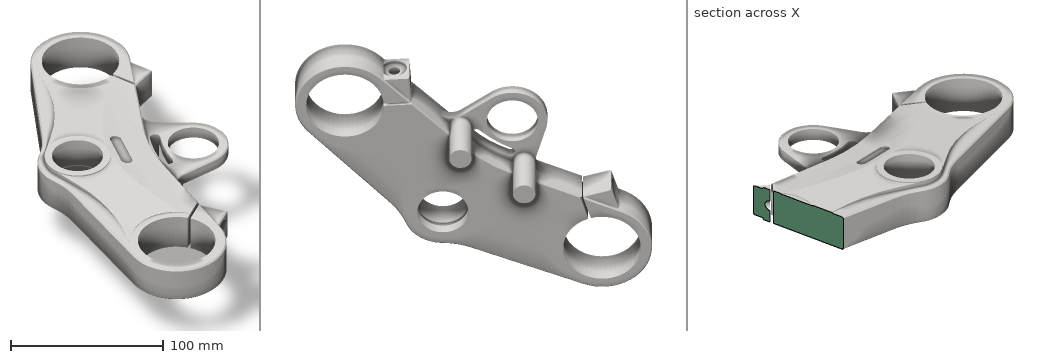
import cadquery as cq
import math

BODY_HEIGHT = 24.5
BOSS_RISE = 4.0
PIN_DROP = 23.5
EDGE_CHAMFER = 0.95

FORK_X = 102.7
FORK_OUTER_R = 32.8
FORK_BORE_R = 25.5
FORK_COLLAR_R = 30.4

STEM_Y = -35.2
STEM_BORE_R = 16.8
STEM_BOSS_R = 21.7
NOSE_R = 26.3
NOSE_BLEND_R = 51.5
STEM_GROOVE_R = 18.0
STEM_GROOVE_WIDTH = 3.3
STEM_GROOVE_DEPTH = 18.0

FRONT_ANGLE = math.radians(12.6)
REAR_ANGLE = math.radians(11)
REAR_BLEND_R = 108.5

CROWN_PEAK = 3.5
CROWN_HALF_LENGTH = 99.0
CROWN_FRONT_Y = -30.0
CROWN_STRAIGHT_X = 81.3
CROWN_FRONT_R = 105.7
CROWN_FRONT_ANGLE = math.radians(31)
CROWN_REAR_Y = 27.0
CROWN_ROOT = 2.7

BADGE_Y = -5.1
BADGE_LENGTH = 31.0
BADGE_WIDTH = 7.5
BADGE_FLOOR_RISE = 0.3

SPLIT_ANGLE = 38.5
SPLIT_WIDTH = 2.0
EAR_REACH = 43.5
EAR_LENGTH = 19.2
EAR_HEIGHT = 22.0
EAR_CHAMFER = 0.8
SCREW_REACH = 33.5
SCREW_R = 3.8
SCREW_HEAD_R = 8.5
SCREW_HEAD_DEPTH = 2.2

BRACKET_BASE = 12.2
BRACKET_THICKNESS = 8.0
BRACKET_Y = 44.7
BRACKET_OUTER_R = 23.0
BRACKET_BORE_R = 16.8
BRACKET_SIDE_ANGLE = math.radians(19)
BRACKET_ROOT_X = 48.8
BRACKET_ROOT_Y = 10.8
BRACKET_ROOT_R = 10.8
BRACKET_CHAMFER = 0.8
WINDOW_HALF_LENGTH = 16.8
WINDOW_FRONT_Y = 18.0
WINDOW_REAR_Y = 25.0
WINDOW_BOW = 2.0
WINDOW_CORNER_R = 3.0
PIN_X = 25.5
PIN_Y = 21.7
PIN_R = 7.3


def polar(center, radius, angle):
    return (center[0] + radius * math.cos(angle), center[1] + radius * math.sin(angle))


def disk(x, y, radius, bottom, height):
    return cq.Workplane("XY", origin=(x, y, bottom)).circle(radius).extrude(height)


def with_mirror(solid):
    return solid.union(solid.mirror("YZ"))


def rear_edge_y(x):
    """Straight rear edge, tangent to the fork clamp."""
    return FORK_OUTER_R / math.cos(REAR_ANGLE) + (x - FORK_X) * math.tan(REAR_ANGLE)


def body_outline():
    """Closed outline of the clamp body, symmetric about the Y axis."""
    fork = (FORK_X, 0)
    stem = (0, STEM_Y)
    front_normal = FRONT_ANGLE - math.pi / 2
    rear_normal = REAR_ANGLE + math.pi / 2

    stem_offset = -FORK_X * math.sin(FRONT_ANGLE) - STEM_Y * math.cos(FRONT_ANGLE)
    blend_offset = FORK_OUTER_R + NOSE_BLEND_R - stem_offset
    blend_distance = NOSE_R + NOSE_BLEND_R
    nose_angle = front_normal + math.acos(blend_offset / blend_distance)
    blend_center = polar(stem, blend_distance, nose_angle)
    blend_start = nose_angle + math.pi
    blend_end = front_normal + math.pi

    rear_center = (0, rear_edge_y(0) + REAR_BLEND_R / math.cos(REAR_ANGLE))

    half_outline = (
        cq.Workplane("XY")
        .moveTo(0, STEM_Y - NOSE_R)
        .threePointArc(
            polar(stem, NOSE_R, (nose_angle - math.pi / 2) / 2),
            polar(stem, NOSE_R, nose_angle),
        )
        .threePointArc(
            polar(blend_center, NOSE_BLEND_R, (blend_start + blend_end) / 2),
            polar(blend_center, NOSE_BLEND_R, blend_end),
        )
        .lineTo(*polar(fork, FORK_OUTER_R, front_normal))
        .threePointArc(polar(fork, FORK_OUTER_R, 0), polar(fork, FORK_OUTER_R, rear_normal))
        .lineTo(*polar(rear_center, REAR_BLEND_R, REAR_ANGLE - math.pi / 2))
        .threePointArc(
            polar(rear_center, REAR_BLEND_R, REAR_ANGLE / 2 - math.pi / 2),
            polar(rear_center, REAR_BLEND_R, -math.pi / 2),
        )
    )
    return half_outline.mirrorY()


def make_body():
    body = body_outline().extrude(BODY_HEIGHT)
    return body.faces("<Z or >Z").edges().chamfer(EDGE_CHAMFER)


def crown_plan():
    arc_center = (CROWN_STRAIGHT_X, CROWN_FRONT_Y - CROWN_FRONT_R)
    arc_end = polar(arc_center, CROWN_FRONT_R, math.pi / 2 + CROWN_FRONT_ANGLE)
    plan = (
        cq.Workplane("XY", origin=(0, 0, BODY_HEIGHT - CROWN_ROOT))
        .moveTo(0, FORK_OUTER_R)
        .lineTo(*polar((FORK_X, 0), EAR_REACH, math.pi - math.radians(SPLIT_ANGLE)))
        .lineTo(FORK_X, 0)
        .lineTo(CROWN_HALF_LENGTH, CROWN_FRONT_Y)
        .lineTo(CROWN_STRAIGHT_X, CROWN_FRONT_Y)
        .threePointArc(polar(arc_center, CROWN_FRONT_R, (math.pi + CROWN_FRONT_ANGLE) / 2), arc_end)
        .lineTo(*polar((0, STEM_Y), STEM_BOSS_R, CROWN_FRONT_ANGLE - math.pi / 2))
        .lineTo(0, STEM_Y)
    )
    return plan.mirrorY().extrude(CROWN_ROOT + BOSS_RISE)


def make_crown():
    """Raised top: a hump along X meeting a hollow slope that rises from the rear edge."""
    base_z = BODY_HEIGHT - CROWN_ROOT
    peak_z = BODY_HEIGHT + CROWN_PEAK
    hump = (
        cq.Workplane("XZ", origin=(0, FORK_OUTER_R, 0))
        .moveTo(-CROWN_HALF_LENGTH, base_z)
        .lineTo(-CROWN_HALF_LENGTH, BODY_HEIGHT)
        .spline(
            [(0, peak_z), (CROWN_HALF_LENGTH, BODY_HEIGHT)],
            tangents=[(1, 0), (1, 0)],
            includeCurrent=True,
        )
        .lineTo(CROWN_HALF_LENGTH, base_z)
        .close()
        .extrude(FORK_OUTER_R - STEM_Y + NOSE_R)
    )

    slope_top_y = STEM_Y + STEM_BOSS_R
    slope = (
        cq.Workplane("YZ", origin=(-CROWN_HALF_LENGTH, 0, 0))
        .moveTo(FORK_OUTER_R, base_z)
        .lineTo(FORK_OUTER_R, BODY_HEIGHT)
        .lineTo(CROWN_REAR_Y, BODY_HEIGHT)
        .tangentArcPoint((slope_top_y, peak_z), relative=False)
        .lineTo(STEM_Y - NOSE_R, peak_z)
        .lineTo(STEM_Y - NOSE_R, base_z)
        .close()
        .extrude(2 * CROWN_HALF_LENGTH)
    )

    collar = disk(FORK_X, 0, FORK_COLLAR_R, base_z, CROWN_ROOT + BOSS_RISE)
    body_top = body_outline().offset2D(-EDGE_CHAMFER).extrude(BODY_HEIGHT + BOSS_RISE)
    crown = crown_plan().intersect(hump).intersect(slope).intersect(body_top)
    return crown.cut(with_mirror(collar))


def cut_badge_slot(solid):
    slot = (
        cq.Workplane("XY", origin=(0, BADGE_Y, BODY_HEIGHT + BADGE_FLOOR_RISE))
        .slot2D(BADGE_LENGTH, BADGE_WIDTH)
        .extrude(BOSS_RISE)
    )
    return solid.cut(slot)


def cut_stem_bore(solid):
    bore = disk(0, STEM_Y, STEM_BORE_R, 0, BODY_HEIGHT + BOSS_RISE)
    groove_bottom = BODY_HEIGHT + BOSS_RISE - STEM_GROOVE_DEPTH - STEM_GROOVE_WIDTH
    groove = disk(0, STEM_Y, STEM_GROOVE_R, groove_bottom, STEM_GROOVE_WIDTH)
    return solid.cut(bore).cut(groove)


def in_split_frame(solid):
    """Turn a solid drawn with the split along -X and move it to the +X fork axis."""
    return solid.rotate((0, 0, 0), (0, 0, 1), -SPLIT_ANGLE).translate((FORK_X, 0, 0))


def make_ear():
    """Block beside the split, with the clamp screw running square to the split."""
    width = EAR_REACH - FORK_BORE_R
    ear = (
        cq.Workplane("XY", origin=(-EAR_REACH, 0, (BODY_HEIGHT - EAR_HEIGHT) / 2))
        .rect(width, EAR_LENGTH, centered=False)
        .extrude(EAR_HEIGHT)
        .faces("<Z or >Z")
        .edges()
        .chamfer(EAR_CHAMFER)
    )
    return in_split_frame(ear)


def make_screw_hole():
    head_face = cq.Workplane("XZ", origin=(-SCREW_REACH, EAR_LENGTH, BODY_HEIGHT / 2))
    hole = head_face.circle(SCREW_R).extrude(EAR_LENGTH)
    head = head_face.circle(SCREW_HEAD_R).extrude(SCREW_HEAD_DEPTH)
    return in_split_frame(hole.union(head))


def make_split():
    split = (
        cq.Workplane("XY", origin=(-EAR_REACH, -SPLIT_WIDTH, 0))
        .rect(EAR_REACH, SPLIT_WIDTH, centered=False)
        .extrude(BODY_HEIGHT + BOSS_RISE)
    )
    return in_split_frame(split)


def make_bracket():
    ring_center = (0, BRACKET_Y)
    side_x, side_y = polar(ring_center, BRACKET_OUTER_R, BRACKET_SIDE_ANGLE)

    side_slope = math.tan(BRACKET_SIDE_ANGLE)
    rear_slope = math.tan(REAR_ANGLE)
    corner_x = (side_x + (side_y - rear_edge_y(0)) * side_slope) / (1 + rear_slope * side_slope)

    plate = (
        cq.Workplane("XY", origin=(0, 0, BRACKET_BASE))
        .moveTo(0, BRACKET_Y + BRACKET_OUTER_R)
        .threePointArc(
            polar(ring_center, BRACKET_OUTER_R, (BRACKET_SIDE_ANGLE + math.pi / 2) / 2),
            (side_x, side_y),
        )
        .lineTo(corner_x, rear_edge_y(corner_x))
        .lineTo(BRACKET_ROOT_X, rear_edge_y(BRACKET_ROOT_X))
        .lineTo(BRACKET_ROOT_X, BRACKET_ROOT_Y)
        .lineTo(0, BRACKET_ROOT_Y)
        .mirrorY()
        .extrude(BRACKET_THICKNESS)
    )
    for x in (-corner_x, corner_x):
        corner = cq.selectors.NearestToPointSelector(
            (x, rear_edge_y(corner_x), BRACKET_BASE + BRACKET_THICKNESS / 2)
        )
        plate = plate.edges(corner).fillet(BRACKET_ROOT_R)
    plate = plate.faces(">Z").edges().chamfer(BRACKET_CHAMFER)

    bore = disk(0, BRACKET_Y, BRACKET_BORE_R, BRACKET_BASE, BRACKET_THICKNESS)
    return plate.cut(bore)


def make_window():
    """Bowed slot in the bracket, along the rear edge of the body."""
    end_x = WINDOW_HALF_LENGTH
    return (
        cq.Workplane("XY", origin=(0, 0, BRACKET_BASE))
        .moveTo(-end_x, WINDOW_FRONT_Y + WINDOW_BOW)
        .threePointArc((0, WINDOW_FRONT_Y), (end_x, WINDOW_FRONT_Y + WINDOW_BOW))
        .lineTo(end_x, WINDOW_REAR_Y + WINDOW_BOW)
        .threePointArc((0, WINDOW_REAR_Y), (-end_x, WINDOW_REAR_Y + WINDOW_BOW))
        .close()
        .extrude(BRACKET_THICKNESS)
        .edges("|Z")
        .fillet(WINDOW_CORNER_R)
    )


boss = disk(0, STEM_Y, STEM_BOSS_R, 0, BODY_HEIGHT + BOSS_RISE)
pin = disk(PIN_X, PIN_Y, PIN_R, -PIN_DROP, PIN_DROP + BRACKET_BASE)
fork_bore = disk(FORK_X, 0, FORK_BORE_R, 0, BODY_HEIGHT + BOSS_RISE)

bracket = make_bracket().cut(make_window())
result = make_body().union(make_crown())
result = cut_badge_slot(result).union(boss)
result = cut_stem_bore(result)
result = result.union(bracket).union(with_mirror(pin)).union(with_mirror(make_ear()))
for clamp_cut in (fork_bore, make_split(), make_screw_hole()):
    result = result.cut(clamp_cut).cut(clamp_cut.mirror("YZ"))